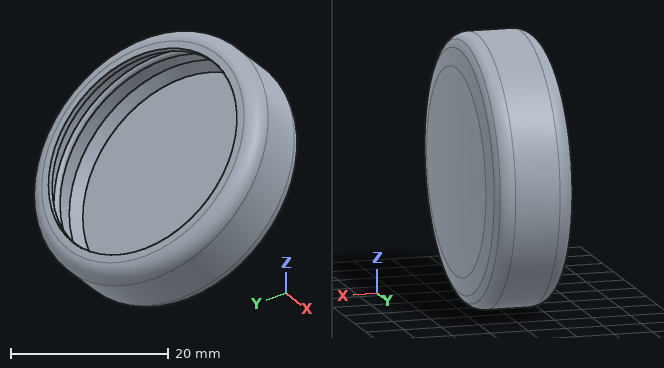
import cadquery as cq
import math

outer_radius = 17.8
total_depth = 11.3

rim_fillet = 2.2
side_end = 8.08
shoulder_radius = rim_fillet
shoulder_end = 9.85
blend_middle = (10.15, 16.4)
blend_end = (10.35, 15.85)
dome_edge_middle = (10.6, 14.77)
dome_edge = (10.8, 13.53)

mouth_radius = 14.52
mouth_depth = 0.82
bore_radius = 16.38
bore_end = 7.37
floor_radius = 15.4
floor_depth = 9.0

bead_start = 3.9
bead_radius = 0.5


def shoulder_point(x):
    """Point on the shoulder arc, which is tangent to the cylindrical side."""
    run = x - side_end
    drop = shoulder_radius - math.sqrt(shoulder_radius**2 - run**2)
    return (x, outer_radius - drop)


def dome_point(radius):
    """Point on the spherical dome, whose apex lies on the axis."""
    edge_x, edge_radius = dome_edge
    rise = total_depth - edge_x
    sphere_radius = (edge_radius**2 + rise**2) / (2 * rise)
    sag = sphere_radius - math.sqrt(sphere_radius**2 - radius**2)
    return (total_depth - sag, radius)


def revolve_about_x(profile):
    return profile.close().revolve(360, (0, 0, 0), (1, 0, 0))


def make_body():
    rim_mid_offset = rim_fillet * (1 - math.sqrt(0.5))
    shoulder_middle = (side_end + shoulder_end) / 2
    return revolve_about_x(
        cq.Workplane("XY")
        .lineTo(0, outer_radius - rim_fillet)
        .threePointArc((rim_mid_offset, outer_radius - rim_mid_offset), (rim_fillet, outer_radius))
        .lineTo(side_end, outer_radius)
        .threePointArc(shoulder_point(shoulder_middle), shoulder_point(shoulder_end))
        .threePointArc(blend_middle, blend_end)
        .threePointArc(dome_edge_middle, dome_edge)
        .threePointArc(dome_point(dome_edge[1] / 2), (total_depth, 0))
    )


def make_cavity():
    bead_center = bead_start + bead_radius
    bead_end = bead_center + bead_radius
    return revolve_about_x(
        cq.Workplane("XY")
        .lineTo(0, mouth_radius)
        .lineTo(mouth_depth, mouth_radius)
        .lineTo(mouth_depth, bore_radius)
        .lineTo(bead_start, bore_radius)
        .threePointArc((bead_center, bore_radius - bead_radius), (bead_end, bore_radius))
        .lineTo(bore_end, bore_radius)
        .lineTo(floor_depth, floor_radius)
        .lineTo(floor_depth, 0)
    )


result = make_body().cut(make_cavity())